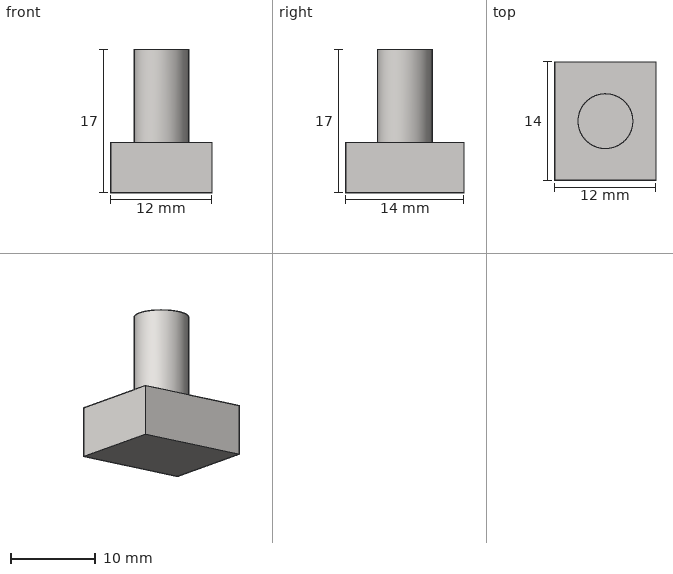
import cadquery as cq

total_height = 17.0
block_width = 12.0
block_depth = 14.0
block_height = 6.0
pin_diameter = 6.5

pin_height = total_height - block_height


def make_block():
    """Rectangular base block, centred on the Z axis, with its bottom at Z = 0."""
    return cq.Workplane("XY").box(block_width, block_depth, block_height, centered=(True, True, False))


def make_pin():
    """Round pin standing on the centre of the block's top face."""
    return cq.Workplane("XY", origin=(0, 0, block_height)).circle(pin_diameter / 2).extrude(pin_height)


block = make_block()
pin = make_pin()

result = cq.Compound.makeCompound([block.val(), pin.val()])